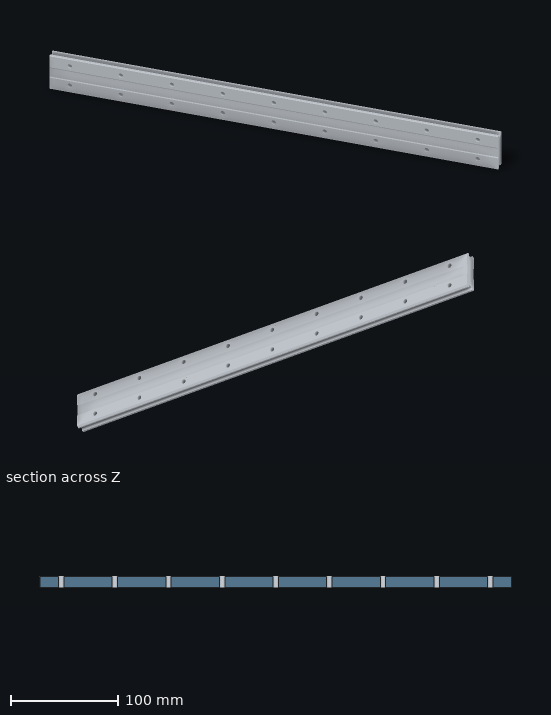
import cadquery as cq

length = 440.0
thickness = 11.0
height = 37.0

recess_depth = 0.5
recess_floor_height = 9.5
recess_shoulder = 1.0

groove_depth = 2.5
groove_mouth_width = 5.5
groove_floor_width = 5.0
groove_floor_radius = 0.8

back_chamfer = 1.5
front_chamfer = 0.5

hole_diameter = 4.5
hole_pitch = 50.0
holes_per_row = 9
row_count = 2
row_spacing = 21.5

half_thickness = thickness / 2
half_height = height / 2
groove_floor_z = half_height - groove_depth


def upper_half_outline():
    """Points (y, z) of the section above mid-height, from the front face round to the back."""
    waist = half_thickness - recess_depth
    recess_floor_top = recess_floor_height / 2
    recess_mouth_top = recess_floor_top + recess_shoulder
    return [
        (-waist, recess_floor_top),
        (-half_thickness, recess_mouth_top),
        (-half_thickness, half_height - front_chamfer),
        (-half_thickness + front_chamfer, half_height),
        (-groove_mouth_width / 2, half_height),
        (-groove_floor_width / 2, groove_floor_z),
        (groove_floor_width / 2, groove_floor_z),
        (groove_mouth_width / 2, half_height),
        (half_thickness - back_chamfer, half_height),
        (half_thickness, half_height - back_chamfer),
        (half_thickness, recess_mouth_top),
        (waist, recess_floor_top),
    ]


def rail_body():
    """Extrude the section, mirrored about mid-height, along X."""
    upper = upper_half_outline()
    lower = [(y, -z) for y, z in reversed(upper)]
    section = cq.Workplane("YZ").polyline(upper + lower).close()
    return section.extrude(length / 2, both=True)


def round_groove_floors(body):
    """Round both floor corners of the top and bottom grooves."""
    margin = 0.1
    for side in (1, -1):
        floor_region = cq.selectors.BoxSelector(
            (-length, -groove_floor_width / 2 - margin, side * groove_floor_z - margin),
            (length, groove_floor_width / 2 + margin, side * groove_floor_z + margin),
        )
        body = body.edges("|X").edges(floor_region).fillet(groove_floor_radius)
    return body


def through_holes():
    """Cylinders along Y for both rows of holes, centred on the rail."""
    return (
        cq.Workplane("XZ")
        .rarray(hole_pitch, row_spacing, holes_per_row, row_count)
        .circle(hole_diameter / 2)
        .extrude(thickness, both=True)
    )


result = round_groove_floors(rail_body()).cut(through_holes())